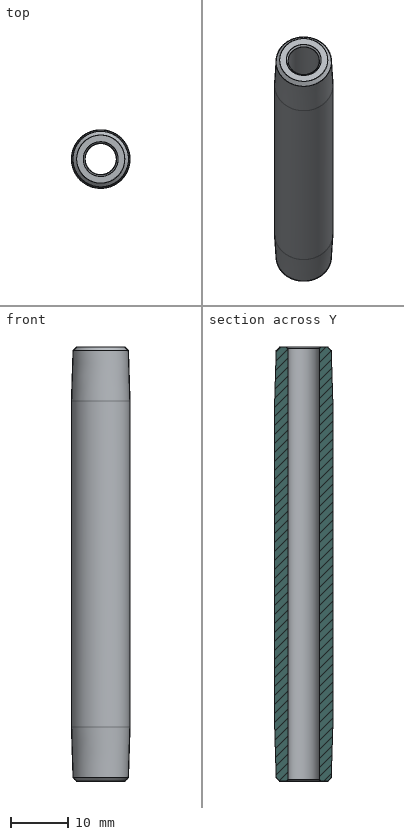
import cadquery as cq
import math

length = 76.2
outer_diameter = 10.29
bore_diameter = 5.46
tapered_end_length = 9.5
taper_ratio = 1 / 16
chamfer_height = 0.65
chamfer_angle = 45
bore_chamfer = 0.32

half_length = length / 2
outer_radius = outer_diameter / 2
taper_run = tapered_end_length - chamfer_height
taper_end_radius = outer_radius - taper_run * taper_ratio / 2
end_face_radius = taper_end_radius - chamfer_height * math.tan(math.radians(chamfer_angle))
taper_start_height = half_length - tapered_end_length
taper_end_height = half_length - chamfer_height


def make_body():
    """Solid of revolution: a straight middle with a tapered, chamfered end above and below."""
    upper_outline = [
        (outer_radius, taper_start_height),
        (taper_end_radius, taper_end_height),
        (end_face_radius, half_length),
    ]
    lower_outline = [(radius, -height) for radius, height in reversed(upper_outline)]
    axis_points = [(0, half_length), (0, -half_length)]
    profile = cq.Workplane("XZ").polyline(upper_outline + axis_points + lower_outline).close()
    return profile.revolve(360, (0, 0), (0, 1))


def cut_bore(body):
    """Drill the straight bore through along Z and chamfer both mouths."""
    bored = body.faces(">Z").workplane().hole(bore_diameter)
    mouths = bored.faces("|Z").edges(cq.selectors.RadiusNthSelector(0))
    return mouths.chamfer(bore_chamfer)


result = cut_bore(make_body())